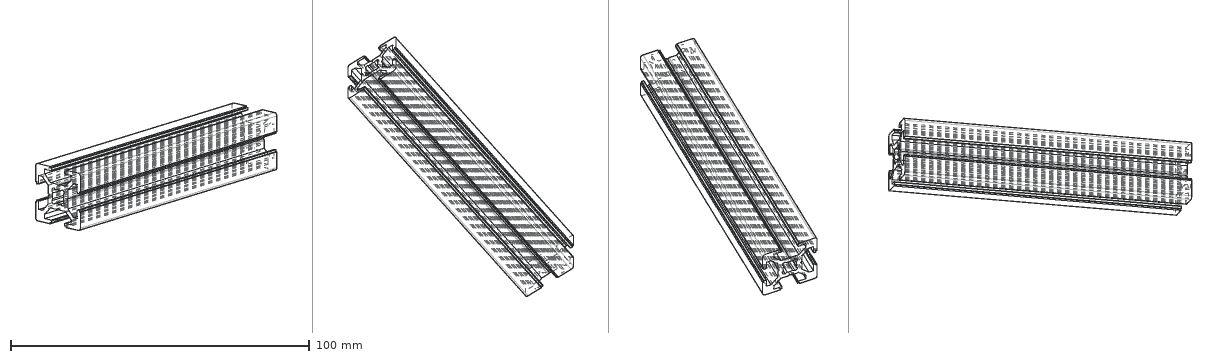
import cadquery as cq
import math

side = 20.0
length = 100.0
corner_radius = 1.0

half_side = side / 2
slot_half_mouth = 3.5
slot_half_opening = 2.85
slot_half_width = 5.9
lip_step_depth = 0.45
lip_thickness = 1.4
lip_chamfer = 0.25
lip_underside = half_side - lip_thickness

web_thickness = 1.58
core_half_width = 4.4
web_offset = web_thickness / math.sqrt(2)

groove_half_width = 0.53
groove_depth = 0.4
groove_angle = math.atan2(groove_depth, groove_half_width)
groove_mouth_blend = 0.13

bore_radius = 2.5
lobe_root_offset = 1.0
lobe_root_height = math.sqrt(bore_radius**2 - lobe_root_offset**2)
lobe_shoulder_offset = 1.8
lobe_shoulder_height = 2.75
lobe_tip = 2.5


def about_axis(solid, quarter_turns):
    """Turn a solid about the extrusion axis by a number of quarter turns."""
    return solid.rotate((0, 0, 0), (0, 1, 0), 90 * quarter_turns)


def extrude_along_y(sketch):
    """Extrude an XZ sketch over the length of the part, centred on the origin."""
    return sketch.extrude(length / 2, both=True)


def make_bar():
    """Square bar with rounded long edges."""
    bar = cq.Workplane("XY").box(side, length, side)
    return bar.edges("|Y").fillet(corner_radius)


def make_slot():
    """Void of the slot that opens towards +Z."""
    diagonal_bottom = core_half_width - web_offset
    diagonal_top = slot_half_width + web_offset
    step_floor = half_side - lip_step_depth
    blend_start = (
        groove_half_width - groove_mouth_blend * math.cos(groove_angle),
        core_half_width - groove_mouth_blend * math.sin(groove_angle),
    )
    blend_end = (groove_half_width + groove_mouth_blend, core_half_width)
    right_half = (
        cq.Workplane("XZ")
        .moveTo(0, core_half_width - groove_depth)
        .lineTo(*blend_start)
        .tangentArcPoint(blend_end, relative=False)
        .lineTo(diagonal_bottom, core_half_width)
        .lineTo(slot_half_width, diagonal_top)
        .lineTo(slot_half_width, lip_underside)
        .lineTo(slot_half_opening + lip_chamfer, lip_underside)
        .lineTo(slot_half_opening, lip_underside + lip_chamfer)
        .lineTo(slot_half_opening, step_floor)
        .lineTo(slot_half_mouth, step_floor)
        .lineTo(slot_half_mouth, half_side)
        .lineTo(0, half_side)
        .close()
    )
    right_void = extrude_along_y(right_half)
    return right_void.union(right_void.mirror("YZ"))


def make_bore_lobe():
    """Void of the bore lobe that reaches towards the +X +Z corner."""
    lobe = (
        cq.Workplane("XZ")
        .moveTo(0, 0)
        .lineTo(lobe_root_offset, lobe_root_height)
        .lineTo(lobe_shoulder_offset, lobe_shoulder_height)
        .threePointArc((lobe_tip, lobe_tip), (lobe_shoulder_height, lobe_shoulder_offset))
        .lineTo(lobe_root_height, lobe_root_offset)
        .close()
    )
    return extrude_along_y(lobe)


def make_profile():
    """Bar with a slot on each side and a lobed bore through the core."""
    profile = make_bar()
    profile = profile.cut(extrude_along_y(cq.Workplane("XZ").circle(bore_radius)))
    slot = make_slot()
    lobe = make_bore_lobe()
    for quarter_turns in range(4):
        profile = profile.cut(about_axis(slot, quarter_turns))
        profile = profile.cut(about_axis(lobe, quarter_turns))
    return profile


result = make_profile()